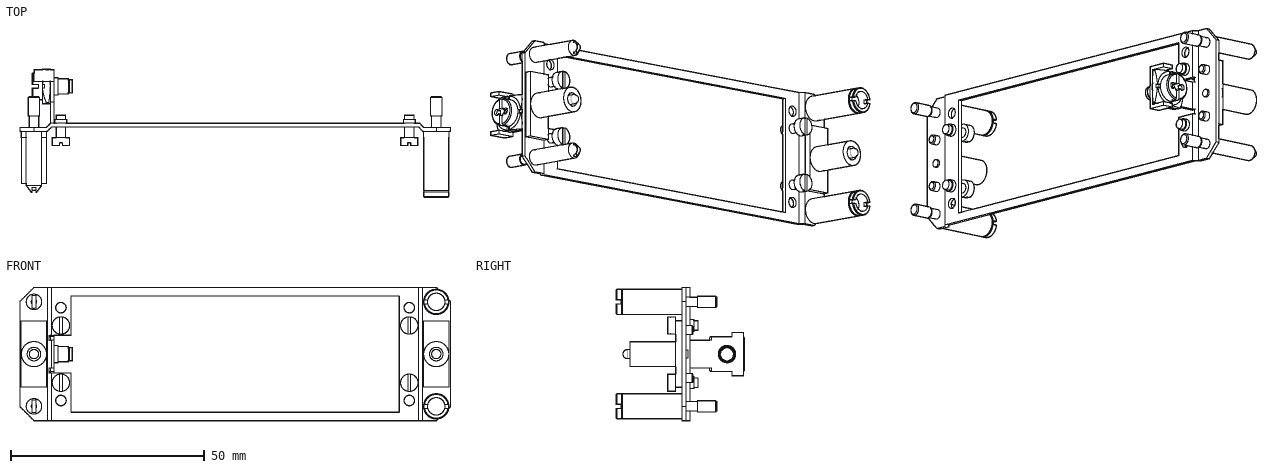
import cadquery as cq
import math


SHEET = 1.0
STEP = 1.1
HEIGHT = 34.52
LEFT_END = -55.66
RIGHT_END = 55.74
WING_BEND = 48.5
FRAME_BEND = 47.45
BACK_BEND_SHIFT = 0.3
CORNER_CUT = 3.7
WINDOW_HALF_WIDTH = 42.4
WINDOW_HEIGHT = 30.0
FRAME_BACK = STEP + SHEET

PIN_X = 52.0
GUIDE_Z = 13.5
FRAME_HOLE_X = 45.03
PLAIN_HOLE_Z = 12.0
PLAIN_HOLE_DIAMETER = 2.65
SCREW_Z = 7.4

SCREW_DIAMETER = 2.5
SCREW_REAR = 4.2
SCREW_HEAD_DIAMETER = 4.5
SCREW_HEAD_BACK = -1.65
SCREW_HEAD_FRONT = -3.7
SCREW_SLOT_WIDTH = 0.7
SCREW_SLOT_DEPTH = 0.75
COLLAR_DIAMETER = 3.1
COLLAR_REAR = 3.1

BLOCK_WIDTH = 6.6
BLOCK_HEIGHT = 17.0
BLOCK_DEPTH = 1.65
SHELL_DIAMETER = 6.5
SHELL_LENGTH = 13.5
SHELL_BORE = 3.5
SHELL_BORE_DEPTH = 5.0
CONTACT_DIAMETER = 2.4
CONTACT_LENGTH = 15.3
CONTACT_TAIL_DIAMETER = 2.0
CONTACT_TAIL_REAR = 1.5
RIVET_DIAMETER = 2.4
RIVET_Z = 6.2
RIVET_REAR = 2.9
RIVET_CHAMFER = 0.3

STUD_NECK_DIAMETER = 2.5
STUD_NECK_REAR = 4.0
STUD_DIAMETER = 3.0
STUD_REAR = 9.0
STUD_CHAMFER = 0.3
GUIDE_PIN_DIAMETER = 4.0
GUIDE_PIN_SHOULDER = 14.0
GUIDE_PIN_LENGTH = 15.75
GUIDE_PIN_TIP_DIAMETER = 1.4
GUIDE_SLOT_WIDTH = 1.0
GUIDE_PIN_SLOT_DEPTH = 1.3
SOCKET_DIAMETER = 6.55
SOCKET_LENGTH = 17.05
SOCKET_CHAMFER = 0.2
SOCKET_BORE = 4.5
SOCKET_BORE_DEPTH = 3.2
SOCKET_CONE_ANGLE = 118.0
SOCKET_SLOT_DEPTH = 1.3
GROOVE_DEPTH = 0.1
GROOVE_WIDTH = 0.3
GROOVE_FROM_END = 1.4

BRACKET_FRONT_X = -46.75
BRACKET_BACK_X = BRACKET_FRONT_X - SHEET
BRACKET_HEIGHT = 7.2
NOTCH_HEIGHT = 9.7
NOTCH_X = BRACKET_FRONT_X
RELIEF_X = -48.1
COAX_Y = 11.63
PAD_FRONT_Y = 7.6
PAD_HEIGHT = 9.0
EAR_FRONT_Y = 12.9
EAR_REAR_Y = 15.95
EAR_END_X = -51.95
EAR_OUTER_Z = 5.6
HOUSING_SIDE = 9.04
HOUSING_THICKNESS = 2.1
HOUSING_CHAMFER = 0.3
HOUSING_ROUND_DIAMETER = 8.8
HOUSING_CORNER_DIAMETER = 13.0
HOUSING_REAR_CONE = 1.2
HOUSING_FRONT_CONE = 0.5
HOUSING_NOTCH_WIDTH = 0.9
HOUSING_NOTCH_DEPTH = 1.0
HOUSING_NOTCH_CUT = 0.6
KNOB_DIAMETER = 7.0
KNOB_LENGTH = 2.7
KNOB_CHAMFER = 0.3
KNOB_SLOT_WIDTH = 0.9
KNOB_SLOT_DEPTH = 1.7
KNOB_HOLE_DIAMETER = 1.5
KNOB_HOLE_OFFSET = 1.55
KNOB_HOLE_DEPTH = 0.8
KNOB_CENTRE_DIAMETER = 2.0
KNOB_CENTRE_DEPTH = 2.2
PLUG_STEPS = ((4.5, 1.0), (4.0, 3.65), (3.1, 3.95), (3.5, 4.7))


def box(x_range, y_range, z_range):
    """Box between the given limits."""
    size = [limits[1] - limits[0] for limits in (x_range, y_range, z_range)]
    corner = (x_range[0], y_range[0], z_range[0])
    return cq.Workplane("XY").box(*size, centered=False).translate(corner)


def rod(diameter, x, z, y_from, y_to):
    """Cylinder along Y between two Y positions, y_from being the larger one."""
    plane = cq.Workplane("XZ", origin=(x, y_from, z))
    return plane.circle(diameter / 2).extrude(y_from - y_to)


def axle(diameter, y, z, x_from, x_to):
    """Cylinder along X between two X positions, x_from being the smaller one."""
    plane = cq.Workplane("YZ", origin=(x_from, y, z))
    return plane.circle(diameter / 2).extrude(x_to - x_from)


def make_frame():
    """Bent sheet with cut corners, window, bracket notch and plain holes."""
    front_face = [
        (LEFT_END, 0),
        (-WING_BEND, 0),
        (-FRAME_BEND, STEP),
        (FRAME_BEND, STEP),
        (WING_BEND, 0),
        (RIGHT_END, 0),
    ]
    back_face = [
        (RIGHT_END, SHEET),
        (WING_BEND + BACK_BEND_SHIFT, SHEET),
        (FRAME_BEND + BACK_BEND_SHIFT, FRAME_BACK),
        (-FRAME_BEND - BACK_BEND_SHIFT, FRAME_BACK),
        (-WING_BEND - BACK_BEND_SHIFT, SHEET),
        (LEFT_END, SHEET),
    ]
    sheet = cq.Workplane("XY").polyline(front_face + back_face).close()
    frame = sheet.extrude(HEIGHT / 2, both=True)
    for end_face in ("<X", ">X"):
        frame = frame.faces(end_face).edges("|Y").chamfer(CORNER_CUT)

    through = (0, FRAME_BACK)
    half_window = WINDOW_HEIGHT / 2
    half_notch = NOTCH_HEIGHT / 2
    frame = frame.cut(box((-WINDOW_HALF_WIDTH, WINDOW_HALF_WIDTH), through, (-half_window, half_window)))
    frame = frame.cut(box((NOTCH_X, -WINDOW_HALF_WIDTH), through, (-half_notch, half_notch)))
    for low, high in ((BRACKET_HEIGHT / 2, half_notch), (-half_notch, -BRACKET_HEIGHT / 2)):
        frame = frame.cut(box((RELIEF_X, NOTCH_X), through, (low, high)))
    for x in (-FRAME_HOLE_X, FRAME_HOLE_X):
        for z in (-PLAIN_HOLE_Z, PLAIN_HOLE_Z):
            frame = frame.cut(rod(PLAIN_HOLE_DIAMETER, x, z, FRAME_BACK, 0))
    return frame


def make_screw(x, z):
    """Slotted captive screw with a collar behind the sheet."""
    screw = rod(SCREW_DIAMETER, x, z, SCREW_REAR, SCREW_HEAD_BACK)
    screw = screw.union(rod(COLLAR_DIAMETER, x, z, COLLAR_REAR, STEP))
    head = rod(SCREW_HEAD_DIAMETER, x, z, SCREW_HEAD_BACK, SCREW_HEAD_FRONT)
    slot = box(
        (x - SCREW_SLOT_WIDTH / 2, x + SCREW_SLOT_WIDTH / 2),
        (SCREW_HEAD_FRONT, SCREW_HEAD_FRONT + SCREW_SLOT_DEPTH),
        (z - SCREW_HEAD_DIAMETER, z + SCREW_HEAD_DIAMETER),
    )
    return screw.union(head.cut(slot))


def make_contact_block(x):
    """Riveted block carrying a shell with a round-tipped centre contact."""
    block = box(
        (x - BLOCK_WIDTH / 2, x + BLOCK_WIDTH / 2),
        (-BLOCK_DEPTH, 0),
        (-BLOCK_HEIGHT / 2, BLOCK_HEIGHT / 2),
    )
    shell = rod(SHELL_DIAMETER, x, 0, 0, -SHELL_LENGTH)
    shell = shell.cut(rod(SHELL_BORE, x, 0, SHELL_BORE_DEPTH - SHELL_LENGTH, -SHELL_LENGTH))
    tip_radius = CONTACT_DIAMETER / 2
    contact = rod(CONTACT_DIAMETER, x, 0, 0, tip_radius - CONTACT_LENGTH)
    ball = cq.Workplane("XY").sphere(tip_radius).translate((x, tip_radius - CONTACT_LENGTH, 0))
    tail = rod(CONTACT_TAIL_DIAMETER, x, 0, CONTACT_TAIL_REAR, 0)
    block = block.union(shell).union(contact).union(ball).union(tail)
    for z in (-RIVET_Z, RIVET_Z):
        block = block.union(rod(RIVET_DIAMETER, x, z, RIVET_REAR, 0).faces(">Y").chamfer(RIVET_CHAMFER))
    return block


def make_stud(x, z):
    """Necked stud behind a guide."""
    neck = rod(STUD_NECK_DIAMETER, x, z, STUD_NECK_REAR, 0)
    stud = rod(STUD_DIAMETER, x, z, STUD_REAR, STUD_NECK_REAR)
    return neck.union(stud.faces(">Y").chamfer(STUD_CHAMFER))


def make_guide_pin(x, z):
    """Guide pin with a slotted conical tip."""
    radius = GUIDE_PIN_DIAMETER / 2
    profile = [
        (0, 0),
        (radius, 0),
        (radius, -GUIDE_PIN_SHOULDER),
        (GUIDE_PIN_TIP_DIAMETER / 2, -GUIDE_PIN_LENGTH),
        (0, -GUIDE_PIN_LENGTH),
    ]
    pin = cq.Workplane("XY").polyline(profile).close().revolve(360, (0, 0), (0, 1))
    slot = box(
        (-GUIDE_SLOT_WIDTH / 2, GUIDE_SLOT_WIDTH / 2),
        (-GUIDE_PIN_LENGTH, GUIDE_PIN_SLOT_DEPTH - GUIDE_PIN_LENGTH),
        (-radius, radius),
    )
    return pin.cut(slot).translate((x, 0, z)).union(make_stud(x, z))


def make_guide_socket(x, z):
    """Guide socket with a slotted mouth and a cone-bottomed bore."""
    radius = SOCKET_DIAMETER / 2
    bore_radius = SOCKET_BORE / 2
    cone_depth = bore_radius / math.tan(math.radians(SOCKET_CONE_ANGLE / 2))
    bore_floor = SOCKET_BORE_DEPTH - SOCKET_LENGTH
    profile = [
        (0, 0),
        (radius, 0),
        (radius, SOCKET_CHAMFER - SOCKET_LENGTH),
        (radius - SOCKET_CHAMFER, -SOCKET_LENGTH),
        (bore_radius, -SOCKET_LENGTH),
        (bore_radius, bore_floor),
        (0, bore_floor + cone_depth),
    ]
    socket = cq.Workplane("XY").polyline(profile).close().revolve(360, (0, 0), (0, 1))
    groove_front = GROOVE_FROM_END - SOCKET_LENGTH
    groove = rod(SOCKET_DIAMETER, 0, 0, groove_front + GROOVE_WIDTH, groove_front)
    groove = groove.cut(
        rod(SOCKET_DIAMETER - 2 * GROOVE_DEPTH, 0, 0, groove_front + GROOVE_WIDTH, groove_front)
    )
    slot = box(
        (-radius, radius),
        (-SOCKET_LENGTH, SOCKET_SLOT_DEPTH - SOCKET_LENGTH),
        (-GUIDE_SLOT_WIDTH / 2, GUIDE_SLOT_WIDTH / 2),
    )
    return socket.cut(groove).cut(slot).translate((x, 0, z)).union(make_stud(x, z))


def make_bracket():
    """Plate standing behind the frame, with two ears folded towards -X."""
    thickness = (BRACKET_BACK_X, BRACKET_FRONT_X)
    half_height = BRACKET_HEIGHT / 2
    bracket = box(thickness, (STEP, EAR_REAR_Y), (-half_height, half_height))
    half_pad = PAD_HEIGHT / 2
    bracket = bracket.union(box(thickness, (PAD_FRONT_Y, EAR_REAR_Y), (-half_pad, half_pad)))
    ear_rows = (EAR_FRONT_Y, EAR_REAR_Y)
    bracket = bracket.union(box(thickness, ear_rows, (-EAR_OUTER_Z, EAR_OUTER_Z)))
    ear = box((EAR_END_X, BRACKET_FRONT_X), ear_rows, (EAR_OUTER_Z - SHEET, EAR_OUTER_Z))
    return bracket.union(ear).union(ear.mirror("XY"))


def make_housing():
    """Square connector body with coned corners and a notch in the middle of each side."""
    half_side = HOUSING_SIDE / 2
    back_x = BRACKET_BACK_X - HOUSING_THICKNESS
    housing = box(
        (back_x, BRACKET_BACK_X),
        (COAX_Y - half_side, COAX_Y + half_side),
        (-half_side, half_side),
    )
    housing = housing.edges("|X").chamfer(HOUSING_CHAMFER)
    small_radius = HOUSING_ROUND_DIAMETER / 2
    large_radius = HOUSING_CORNER_DIAMETER / 2
    turned_profile = [
        (back_x, 0),
        (back_x, small_radius),
        (back_x + HOUSING_REAR_CONE, large_radius),
        (BRACKET_BACK_X - HOUSING_FRONT_CONE, large_radius),
        (BRACKET_BACK_X, small_radius),
        (BRACKET_BACK_X, 0),
    ]
    turned = cq.Workplane("XY").polyline(turned_profile).close().revolve(360, (0, 0), (1, 0))
    housing = housing.intersect(turned.translate((0, COAX_Y, 0)))
    notch = box(
        (back_x, back_x + HOUSING_NOTCH_CUT),
        (COAX_Y - HOUSING_NOTCH_WIDTH / 2, COAX_Y + HOUSING_NOTCH_WIDTH / 2),
        (half_side - HOUSING_NOTCH_DEPTH, half_side),
    )
    for quarter in range(4):
        housing = housing.cut(notch.rotate((0, COAX_Y, 0), (1, COAX_Y, 0), 90 * quarter))
    return housing


def make_knob():
    """Slotted round cap on the rear of the connector body."""
    base_x = BRACKET_BACK_X - HOUSING_THICKNESS
    face_x = base_x - KNOB_LENGTH
    knob = axle(KNOB_DIAMETER, COAX_Y, 0, face_x, base_x).faces("<X").chamfer(KNOB_CHAMFER)
    slot = box(
        (face_x, face_x + KNOB_SLOT_DEPTH),
        (COAX_Y - KNOB_SLOT_WIDTH / 2, COAX_Y + KNOB_SLOT_WIDTH / 2),
        (-KNOB_DIAMETER / 2, KNOB_DIAMETER / 2),
    )
    knob = knob.cut(slot).cut(axle(KNOB_CENTRE_DIAMETER, COAX_Y, 0, face_x, face_x + KNOB_CENTRE_DEPTH))
    for offset in (-KNOB_HOLE_OFFSET, KNOB_HOLE_OFFSET):
        knob = knob.cut(axle(KNOB_HOLE_DIAMETER, COAX_Y + offset, 0, face_x, face_x + KNOB_HOLE_DEPTH))
    return knob


def make_plug():
    """Stepped round plug pointing into the window."""
    plug = cq.Workplane("XY")
    start = 0
    for diameter, end in PLUG_STEPS:
        plug = plug.union(axle(diameter, COAX_Y, 0, BRACKET_FRONT_X + start, BRACKET_FRONT_X + end))
        start = end
    return plug


result = make_frame()
for side in (-1, 1):
    result = result.union(make_contact_block(side * PIN_X))
    for z in (-SCREW_Z, SCREW_Z):
        result = result.union(make_screw(side * FRAME_HOLE_X, z))
for z in (-GUIDE_Z, GUIDE_Z):
    result = result.union(make_guide_pin(-PIN_X, z))
    result = result.union(make_guide_socket(PIN_X, z))
for piece in (make_bracket(), make_housing(), make_knob(), make_plug()):
    result = result.union(piece)